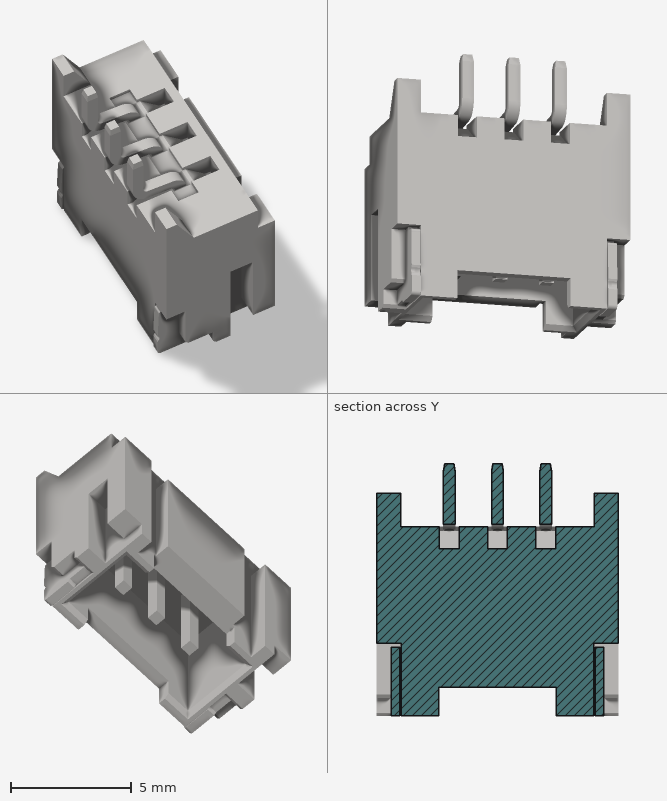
import cadquery as cq


HOUSING_WIDTH = 10.0
HALF_WIDTH = HOUSING_WIDTH / 2
CORE_DEPTH = 4.3
CORE_TOP = 7.84
REAR_RAIL_TOP = 6.64

CORNER_RAIL_WIDTH = 1.57
CORNER_RAIL_BACK = 5.09
MIDDLE_RAIL_WIDTH = 4.6
MIDDLE_RAIL_BACK = 4.97

EAR_WIDTH = 1.0
EAR_TOP = 9.24
EAR_TIP_DEPTH = 0.49
EAR_ROOT_DEPTH = 1.29

CAVITY_WIDTH = 7.2
CAVITY_FRONT = 0.54
CAVITY_BACK = 3.82
CAVITY_ROOF = 5.75
MOUTH_CHAMFER = 0.21
MOUTH_ANGLE = 45
BASE_NOTCH_WIDTH = 4.86
BASE_NOTCH_TOP = 1.19

WINDOW_FRONT = 3.0
WINDOW_BACK = 4.08
WINDOW_TOP = 4.41
RAIL_UNDERSIDE = 0.75

SIDE_CUT_DEPTH = 1.01
POCKET_UPRIGHT_BACK = 0.9
POCKET_TOP = 3.01
POCKET_FOOT_BACK = 2.2
POCKET_FOOT_TOP = 0.75
POCKET_CHAMFER = 0.14

CLIP_OUTER_INSET = 0.59
CLIP_THICKNESS = 0.39
CLIP_FRONT = -0.09
CLIP_TOP = 2.86
CLIP_TOP_STEP = 0.44
CLIP_TOP_BEVEL_RUN = 0.06
CLIP_TOP_BEVEL_RISE = 0.03
CLIP_NOSE_TOP = (0.1, 2.84)
CLIP_NOSE_MIDDLE = (0, 2.82)
CLIP_NOSE_FRONT = (-0.04, 2.71)
CLIP_HEEL_START = 1.26
CLIP_HEEL_RISE = 0.11
CLIP_TOE_RADIUS = 0.15
GROOVE_HEIGHT = 1.05
GROOVE_BOTTOM = 0.0
GROOVE_SHOULDER = -0.05
GROOVE_HALF_WIDTH = 0.11
GROOVE_MOUTH_HALF_WIDTH = 0.22

PIN_PITCH = 2.0
PIN_POSITIONS = (-PIN_PITCH, 0, PIN_PITCH)
PIN_SIZE = 0.5
PIN_FRONT = -0.09
PIN_BACK = 2.4
PIN_TOP = 10.45
PIN_BOTTOM = 1.46
PIN_SHOULDER_BACK = 8.13
PIN_SHOULDER_FRONT = 8.27
PIN_BAR_HEIGHT = 0.42
INNER_BEND = 0.21
REAR_OUTER_BEND = INNER_BEND + PIN_SIZE
FRONT_OUTER_BEND = 0.76
TIP_LENGTH = 0.3
TIP_INSET = 0.05

RECESS_WIDTH = 6.04
RECESS_FRONT = 1.62
RECESS_BACK = 2.58
RECESS_FLOOR = 7.66
SLOT_WIDTH = 0.8
FRONT_SLOT_FLOOR = 6.94
FRONT_SLOT_FLAT = 0.25
FRONT_SLOPE_BACK = 1.44
REAR_SLOT_FLOOR = 6.76
REAR_SLOT_BACK = 3.89
REAR_SLOPE_BACK = 3.65
REAR_SLOPE_FRONT = 2.73
FUNNEL_SIZE = 0.79
FUNNEL_DEPTH = 0.15


def box(x_min, x_max, y_min, y_max, z_min, z_max):
    size = (x_max - x_min, y_max - y_min, z_max - z_min)
    return cq.Workplane("XY").box(*size, centered=False).translate((x_min, y_min, z_min))


def centred_box(width, y_min, y_max, z_min, z_max):
    return box(-width / 2, width / 2, y_min, y_max, z_min, z_max)


def side_profile(points, x_min, width):
    """Extrude a closed (y, z) outline along +X, starting at x_min."""
    return cq.Workplane("YZ", origin=(x_min, 0, 0)).polyline(points).close().extrude(width)


def both_sides(left_shape):
    return left_shape.union(left_shape.mirror("YZ"))


def housing_shell():
    core = centred_box(HOUSING_WIDTH, 0, CORE_DEPTH, 0, CORE_TOP)
    middle_rail = centred_box(MIDDLE_RAIL_WIDTH, CORE_DEPTH, MIDDLE_RAIL_BACK, 0, REAR_RAIL_TOP)
    corner_rail = box(
        -HALF_WIDTH, -HALF_WIDTH + CORNER_RAIL_WIDTH, CORE_DEPTH, CORNER_RAIL_BACK, 0, REAR_RAIL_TOP
    )
    ear_outline = [(0, CORE_TOP), (EAR_ROOT_DEPTH, CORE_TOP), (EAR_TIP_DEPTH, EAR_TOP), (0, EAR_TOP)]
    ear = side_profile(ear_outline, -HALF_WIDTH, EAR_WIDTH)
    return core.union(middle_rail).union(both_sides(corner_rail)).union(both_sides(ear))


def mating_cavity():
    depth = CAVITY_BACK - CAVITY_FRONT
    middle = (CAVITY_FRONT + CAVITY_BACK) / 2
    cavity = centred_box(CAVITY_WIDTH, CAVITY_FRONT, CAVITY_BACK, 0, CAVITY_ROOF)
    mouth = (
        cq.Workplane("XY", origin=(0, middle, 0))
        .rect(CAVITY_WIDTH + 2 * MOUTH_CHAMFER, depth + 2 * MOUTH_CHAMFER)
        .extrude(MOUTH_CHAMFER, taper=MOUTH_ANGLE)
    )
    base_notch = centred_box(BASE_NOTCH_WIDTH, 0, MIDDLE_RAIL_BACK, 0, BASE_NOTCH_TOP)
    return cavity.union(mouth).union(base_notch)


def side_cuts():
    inner_x = -HALF_WIDTH + SIDE_CUT_DEPTH
    window = box(-HALF_WIDTH, inner_x, WINDOW_FRONT, WINDOW_BACK, 0, WINDOW_TOP)
    rail_undercut = box(-HALF_WIDTH, inner_x, WINDOW_BACK, CORNER_RAIL_BACK, 0, RAIL_UNDERSIDE)
    pocket_outline = [
        (0, 0),
        (POCKET_FOOT_BACK + POCKET_CHAMFER, 0),
        (POCKET_FOOT_BACK, POCKET_CHAMFER),
        (POCKET_FOOT_BACK, POCKET_FOOT_TOP),
        (POCKET_UPRIGHT_BACK + POCKET_CHAMFER, POCKET_FOOT_TOP),
        (POCKET_UPRIGHT_BACK, POCKET_FOOT_TOP + POCKET_CHAMFER),
        (POCKET_UPRIGHT_BACK, POCKET_TOP),
        (0, POCKET_TOP),
    ]
    pocket = side_profile(pocket_outline, -HALF_WIDTH, SIDE_CUT_DEPTH)
    return both_sides(window.union(rail_undercut).union(pocket))


def solder_clips():
    clip = (
        cq.Workplane("YZ", origin=(-HALF_WIDTH + CLIP_OUTER_INSET, 0, 0))
        .moveTo(CLIP_FRONT + CLIP_TOE_RADIUS, 0)
        .lineTo(CLIP_HEEL_START, 0)
        .lineTo(CLIP_HEEL_START + CLIP_HEEL_RISE, CLIP_HEEL_RISE)
        .lineTo(POCKET_FOOT_BACK, CLIP_HEEL_RISE)
        .lineTo(POCKET_FOOT_BACK, POCKET_FOOT_TOP)
        .lineTo(POCKET_UPRIGHT_BACK + POCKET_CHAMFER, POCKET_FOOT_TOP)
        .lineTo(POCKET_UPRIGHT_BACK, POCKET_FOOT_TOP + POCKET_CHAMFER)
        .lineTo(POCKET_UPRIGHT_BACK, POCKET_TOP)
        .lineTo(CLIP_TOP_STEP, POCKET_TOP)
        .lineTo(CLIP_TOP_STEP, CLIP_TOP + CLIP_TOP_BEVEL_RISE)
        .lineTo(CLIP_TOP_STEP - CLIP_TOP_BEVEL_RUN, CLIP_TOP)
        .lineTo(*CLIP_NOSE_TOP)
        .threePointArc(CLIP_NOSE_MIDDLE, CLIP_NOSE_FRONT)
        .lineTo(CLIP_FRONT, GROOVE_HEIGHT + GROOVE_MOUTH_HALF_WIDTH)
        .lineTo(GROOVE_SHOULDER, GROOVE_HEIGHT + GROOVE_HALF_WIDTH)
        .threePointArc(
            (GROOVE_BOTTOM, GROOVE_HEIGHT), (GROOVE_SHOULDER, GROOVE_HEIGHT - GROOVE_HALF_WIDTH)
        )
        .lineTo(CLIP_FRONT, GROOVE_HEIGHT - GROOVE_MOUTH_HALF_WIDTH)
        .lineTo(CLIP_FRONT, CLIP_TOE_RADIUS)
        .radiusArc((CLIP_FRONT + CLIP_TOE_RADIUS, 0), -CLIP_TOE_RADIUS)
        .close()
        .extrude(CLIP_THICKNESS)
    )
    return both_sides(clip)


def top_recesses():
    recesses = centred_box(RECESS_WIDTH, RECESS_FRONT, RECESS_BACK, RECESS_FLOOR, CORE_TOP)
    slot_outline = [
        (0, CORE_TOP),
        (0, FRONT_SLOT_FLOOR),
        (FRONT_SLOT_FLAT, FRONT_SLOT_FLOOR),
        (FRONT_SLOPE_BACK, RECESS_FLOOR),
        (REAR_SLOPE_FRONT, RECESS_FLOOR),
        (REAR_SLOPE_BACK, REAR_SLOT_FLOOR),
        (REAR_SLOT_BACK, REAR_SLOT_FLOOR),
        (REAR_SLOT_BACK, CORE_TOP),
    ]
    leg_middle = PIN_BACK - PIN_SIZE / 2
    funnel = (
        cq.Workplane("XY", origin=(0, leg_middle, RECESS_FLOOR - FUNNEL_DEPTH))
        .rect(PIN_SIZE, PIN_SIZE)
        .workplane(offset=FUNNEL_DEPTH)
        .rect(FUNNEL_SIZE, FUNNEL_SIZE)
        .loft()
    )
    slot = side_profile(slot_outline, -SLOT_WIDTH / 2, SLOT_WIDTH).union(funnel)
    for x in PIN_POSITIONS:
        recesses = recesses.union(slot.translate((x, 0, 0)))
    return recesses


def pin_tip(base_z, end_z, middle_y):
    end_size = PIN_SIZE - 2 * TIP_INSET
    return (
        cq.Workplane("XY", origin=(0, middle_y, base_z))
        .rect(PIN_SIZE, PIN_SIZE)
        .workplane(offset=end_z - base_z)
        .rect(end_size, end_size)
        .loft()
    )


def bent_pin():
    inner_front = PIN_FRONT + PIN_SIZE
    inner_back = PIN_BACK - PIN_SIZE
    shank_top = PIN_TOP - TIP_LENGTH
    outline = [
        (PIN_FRONT, shank_top),
        (inner_front, shank_top),
        (inner_front, PIN_SHOULDER_FRONT),
        (PIN_BACK, PIN_SHOULDER_BACK),
        (PIN_BACK, PIN_BOTTOM),
        (inner_back, PIN_BOTTOM),
        (inner_back, PIN_SHOULDER_BACK - PIN_BAR_HEIGHT),
        (PIN_FRONT, PIN_SHOULDER_FRONT - PIN_BAR_HEIGHT),
    ]
    shank = side_profile(outline, -PIN_SIZE / 2, PIN_SIZE)
    bends = [
        (inner_front, PIN_SHOULDER_FRONT, INNER_BEND),
        (inner_back, PIN_SHOULDER_BACK - PIN_BAR_HEIGHT, INNER_BEND),
        (PIN_BACK, PIN_SHOULDER_BACK, REAR_OUTER_BEND),
        (PIN_FRONT, PIN_SHOULDER_FRONT - PIN_BAR_HEIGHT, FRONT_OUTER_BEND),
    ]
    for y, z, radius in bends:
        shank = shank.edges(cq.selectors.NearestToPointSelector((0, y, z))).fillet(radius)
    return shank.union(pin_tip(shank_top, PIN_TOP, PIN_FRONT + PIN_SIZE / 2))


result = housing_shell().cut(mating_cavity()).cut(side_cuts()).cut(top_recesses()).union(solder_clips())
for pin_x in PIN_POSITIONS:
    result = result.union(bent_pin().translate((pin_x, 0, 0)))